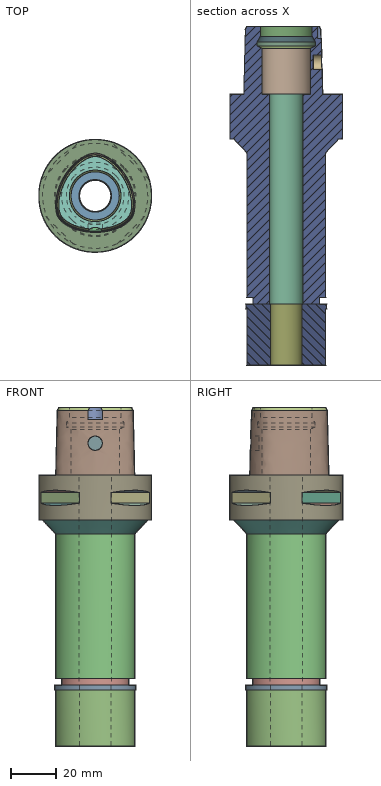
import cadquery as cq
import math

total_height = 150.0
flange_bottom = 100.0
flange_top = 120.0
cone_bottom = 94.0
neck_top = 30.0
nut_height = 27.2
collar_bottom = 24.9

flange_radius = total_height / 6
cone_top_radius = 23.2
body_radius = 17.5
neck_radius = 14.8
collar_radius = 18.0
holder_through_radius = 7.2
nut_bore_radius = 6.9

lobe_mean_radius = 17.5
lobe_height = 1.4
shank_taper = 0.025
tip_bevel_height = 1.5
tip_bevel_width = 0.8
outline_points = 24

entry_radius = 11.4
entry_depth = 4.5
relief_radius = 12.8
relief_start_depth = 6.9
relief_end_depth = 8.7
drill_radius = 10.6
drill_start_depth = 9.8
drill_depth = 30.0

notch_radius = 4.4
notch_offset = 18.3
notch_depth = 5.4
side_hole_radius = 3.2
side_hole_height = 134.1
side_hole_floor = 12.0

slot_count = 4
slot_floor_distance = 21.9
slot_floor_height = 4.6
slot_mouth_height = 6.8
slot_height = 110.0


def lobed_outline(mean_radius, height):
    """Closed three-lobed curve with one lobe pointing along +Y."""

    def point(turn):
        angle = 2 * math.pi * turn
        x = mean_radius * math.cos(angle) + lobe_height * (2 * math.cos(2 * angle) - math.cos(4 * angle))
        y = mean_radius * math.sin(angle) - lobe_height * (2 * math.sin(2 * angle) + math.sin(4 * angle))
        return cq.Vector(-y, x, height)

    points = [point(index / outline_points) for index in range(outline_points)]
    return cq.Wire.assembleEdges([cq.Edge.makeSpline(points, periodic=True)])


def make_shank():
    bevel_start = total_height - tip_bevel_height
    bevel_radius = lobe_mean_radius - shank_taper * (bevel_start - flange_top)
    outlines = [
        lobed_outline(lobe_mean_radius, flange_top),
        lobed_outline(bevel_radius, bevel_start),
        lobed_outline(bevel_radius - tip_bevel_width, total_height),
    ]
    return cq.Workplane("XY").newObject([cq.Solid.makeLoft(outlines, True)])


def make_turned_body():
    profile = [
        (0, nut_height),
        (neck_radius, nut_height),
        (neck_radius, neck_top),
        (body_radius, neck_top),
        (body_radius, cone_bottom),
        (cone_top_radius, flange_bottom),
        (flange_radius, flange_bottom),
        (flange_radius, flange_top),
        (0, flange_top),
    ]
    return cq.Workplane("XZ").polyline(profile).close().revolve(360, (0, 0), (0, 1))


def make_bore():
    profile = [
        (0, total_height),
        (entry_radius, total_height),
        (entry_radius, total_height - entry_depth),
        (relief_radius, total_height - relief_start_depth),
        (relief_radius, total_height - relief_end_depth),
        (drill_radius, total_height - drill_start_depth),
        (drill_radius, total_height - drill_depth),
        (holder_through_radius, total_height - drill_depth),
        (holder_through_radius, nut_height),
        (0, nut_height),
    ]
    return cq.Workplane("XZ").polyline(profile).close().revolve(360, (0, 0), (0, 1))


def make_notch():
    notch_floor = cq.Workplane("XY").workplane(offset=total_height - notch_depth)
    return notch_floor.center(0, -notch_offset).circle(notch_radius).extrude(notch_depth)


def make_side_hole():
    floor = cq.Workplane("XZ", origin=(0, -side_hole_floor, side_hole_height))
    return floor.circle(side_hole_radius).extrude(flange_radius - side_hole_floor)


def make_gripper_slot(angle):
    """Trapezoid groove that widens from its flat floor to the flange surface."""
    floor_half = slot_floor_height / 2
    mouth_half = slot_mouth_height / 2
    section = [
        (slot_floor_distance, slot_height - floor_half),
        (flange_radius, slot_height - mouth_half),
        (flange_radius, slot_height + mouth_half),
        (slot_floor_distance, slot_height + floor_half),
    ]
    groove = cq.Workplane("XZ").polyline(section).close().extrude(flange_radius, both=True)
    return groove.rotate((0, 0, 0), (0, 0, 1), angle)


def make_holder():
    holder = make_turned_body().union(make_shank())
    holder = holder.cut(make_bore()).cut(make_notch()).cut(make_side_hole())
    slot_spacing = 360 / slot_count
    for index in range(slot_count):
        holder = holder.cut(make_gripper_slot((index + 0.5) * slot_spacing))
    return holder


def make_nut():
    nut = cq.Workplane("XY").circle(body_radius).extrude(nut_height)
    collar = (
        cq.Workplane("XY").workplane(offset=collar_bottom)
        .circle(collar_radius).extrude(nut_height - collar_bottom)
    )
    bore = cq.Workplane("XY").circle(nut_bore_radius).extrude(nut_height)
    return nut.union(collar).cut(bore)


holder = make_holder()
nut = make_nut()
result = cq.Compound.makeCompound([holder.val(), nut.val()])